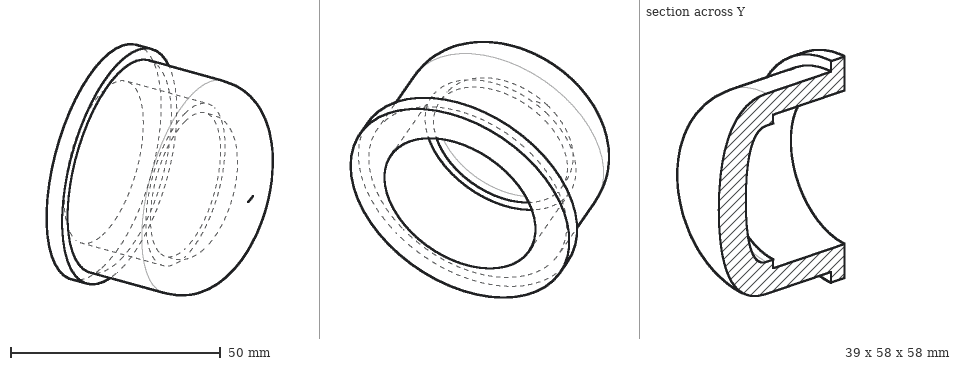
import cadquery as cq

flange_radius = 58 / 2
flange_thickness = 4.25
body_radius = 52.5 / 2
body_end = 24.25
total_length = 39.0
bore_radius = 40 / 2
bore_depth = 22.05
inner_radius = 35.5 / 2
wall = body_radius - inner_radius
dome_height = total_length - body_end
inner_dome_height = dome_height - wall

side_fullness = 0.55
crown_fullness = 0.75


def domed_cylinder(radius, height):
    """Solid cylinder from X = 0 to the body end, closed by a smooth, flattened dome."""
    tip = body_end + height
    dome_curve = [
        (body_end, radius),
        (body_end + side_fullness * height, radius),
        (tip, crown_fullness * radius),
        (tip, 0),
    ]
    return (
        cq.Workplane("XY")
        .lineTo(0, radius)
        .lineTo(body_end, radius)
        .bezier(dome_curve)
        .close()
        .revolve(360, (0, 0, 0), (1, 0, 0))
    )


flange = cq.Workplane("YZ").circle(flange_radius).extrude(flange_thickness)
bore = cq.Workplane("YZ").circle(bore_radius).extrude(bore_depth)
body = domed_cylinder(body_radius, dome_height)
cavity = domed_cylinder(inner_radius, inner_dome_height)
result = body.union(flange).cut(bore).cut(cavity)